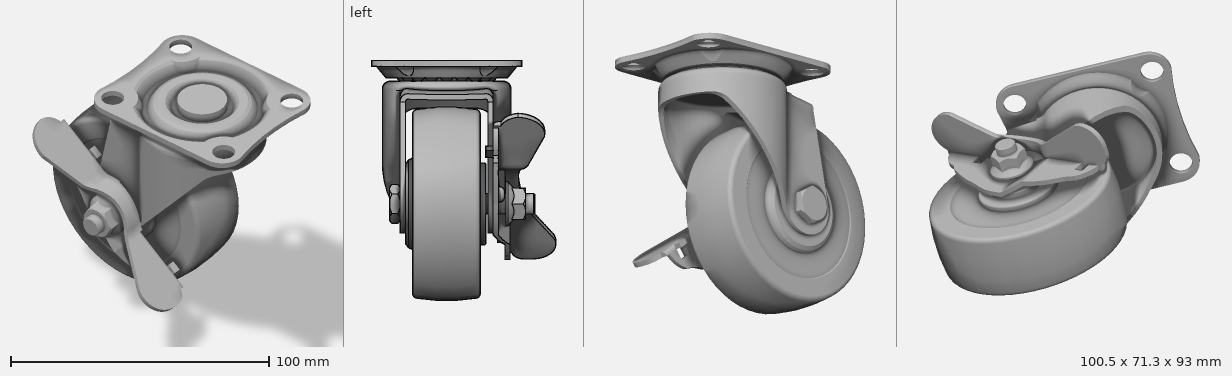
import cadquery as cq
import math


AXLE = (-28.0, 0, -55.5)
AXLE_R = 4.0
AXLE_HOLE_DEPTH = 100.5

PLATE_X, PLATE_Y = 69.9, 58.1
PLATE_T = 2.3
PLATE_WAIST = 2.0
CORNER_R = 8.8
MOUNT_X, MOUNT_Y = 27.5, 21.0
MOUNT_R = 4.4
SCALLOP_R = 9.8
SCALLOP_FLARE = 24.0
SCALLOP_WALL = 2.0
DISH_BOTTOM = -6.7
DISH_R = 27.2
HUB_FLOOR = -3.8
KINGPIN_R = 9.6

BALL_COUNT = 18
BALL_R = 2.7
BALL_PITCH_R = 17.1
BALL_Z = -5.5

FORK_TOP = -8.0
HEAD_R = 24.9
LEG_Y = 18.0
SHEET = 2.1
BEND_R = 3.0
LEG_BLEND_R = 6.5
BLEND_DROP = 3.6
SKIRT_BOTTOM = -18.5
LEG_END_R = 11.4
LIP_X = -34.1
BROW_X, BROW_Z = -31.4, -16.1
TONGUE_X, TONGUE_Z = -10.0, -9.3
TONGUE_SLOPE = 0.16
SKIRT_CORNER_X = 17.6
SKIRT_CORNER_R = 6.5

WHEEL_R = 37.5
TREAD_EDGE_R, TREAD_EDGE_Y = 36.6, 11.4
FACE_R, FACE_Y = 34.4, 13.1
SHOULDER_R, SHOULDER_Y = 36.0, 12.6
WHEEL_Y = 0.1
DISC_R, DISC_STEP = 27.8, 0.4
LEG_INNER_Y = LEG_Y - SHEET
HUB_R, HUB_Y = 15.9, 15.2
CONE_BASE_R, CONE_MIDDLE_R, CONE_TOP_R = 17.8, 17.0, 15.5
CONE_MIDDLE_Y = 14.8
HUB_EDGE = 0.8

HEAD_APOTHEM, HEAD_T = 6.5, 4.1
NUT_APOTHEM = 6.0
BOLT_END_Y = -34.1
BOLT_CHAMFER = 0.4
NUT_OUTER_Y = -30.6
NUT_BASE_Y = -26.0
FLANGE_R, FLANGE_Y, FLANGE_RIM = 8.5, -22.9, 0.8
HEAD_TURN = 30.0
HEX_BEVEL = 0.9

LEVER_TILT = 38.0
STRIP_V, STRIP_T = 9.4, 2.0
ARCH_R, ARCH_BEND_R, ARCH_RISE = 17.2, 6.0, 5.1
ARCH_U = -0.6
PEDAL_LEFT, PEDAL_RIGHT = -44.8, 44.2
STEP_START, STEP_END = 3.0, 13.1
LEFT_FACE_Y, RIGHT_FACE_Y = -LEG_Y, -22.5
ARCH_START = -7.0
ARCH_BACK_START, ARCH_BACK_END = -19.7, -22.1
PANEL_FRONT_START, PANEL_FRONT_END = -22.5, -22.9
PANEL_TIP = (3.2, 4.6)
PANEL_LEFT_V, PANEL_RIGHT_V = 11.5, 12.4
STRIP_END_LEFT, STRIP_END_RIGHT = -39.5, 40.2
FOLD_U, STRIP_BEND_R = 28.1, 1.9
PEDAL_DEPTH_Y = -45.2
SHOULDER_U = 38.2
TAB_DEPTH = 2.9
LEFT_TAB_U, LEFT_WINDOW_V = (-24.1, -19.6), 3.3
RIGHT_TAB_U, RIGHT_WINDOW_V = (29.9, 34.0), 2.7
BUTTON_R, BUTTON_H, BUTTON_ROUND = 3.0, 2.4, 2.0
BUTTON_DX, BUTTON_DZ = -5.0, 3.6


def ring(profile, origin):
    """Turn a profile of (radius, height along Y) points around the axle direction."""
    return cq.Workplane("XY", origin=origin).polyline(profile).close().revolve(360, (0, 0), (0, 1))


def turned(profile):
    """Turn a profile of (radius, z) points around the swivel axis."""
    return cq.Workplane("XZ").polyline(profile).close().revolve(360, (0, 0), (0, 1))


def tangent_point(point, centre, radius, side):
    """Where a line from the point touches a circle, on the side given by +1 or -1."""
    dx, dz = point[0] - centre[0], point[1] - centre[1]
    angle = math.atan2(dz, dx) + side * math.acos(radius / math.hypot(dx, dz))
    return (centre[0] + radius * math.cos(angle), centre[1] + radius * math.sin(angle))


def along_axle(radius, y_from, y_to):
    """A cylinder around the axle."""
    plane = cq.Workplane("XZ", origin=(AXLE[0], y_from, AXLE[2]))
    return plane.circle(radius).extrude(y_from - y_to)


def hexagon(apothem, y_from, y_to, turn, bevel_ends):
    """A hexagonal prism around the axle, with bevelled corners at the listed end faces."""
    corner_r = apothem / math.cos(math.pi / 6)
    plane = cq.Workplane("XZ", origin=(AXLE[0], y_from, AXLE[2])).transformed(rotate=(0, 0, turn))
    prism = plane.polygon(6, 2 * corner_r).extrude(y_from - y_to)
    envelope = along_axle(corner_r, y_from, y_to)
    for selector in bevel_ends:
        envelope = envelope.faces(selector).chamfer(HEX_BEVEL, corner_r - apothem)
    return prism.intersect(envelope)


axle_hole = along_axle(AXLE_R, AXLE_HOLE_DEPTH / 2, -AXLE_HOLE_DEPTH / 2)


def at_mounts(radius, flare=0):
    """Tools around the mounting holes that may widen downwards."""
    points = [(sx * MOUNT_X, sy * MOUNT_Y) for sx in (-1, 1) for sy in (-1, 1)]
    return cq.Workplane("XY").pushPoints(points).circle(radius).extrude(DISH_BOTTOM, taper=-flare)


def make_plate():
    x, y = PLATE_X / 2, PLATE_Y / 2
    cx, cy = x - CORNER_R, y - CORNER_R
    bulge = CORNER_R * math.sqrt(0.5)
    flange = (
        cq.Workplane("XY")
        .moveTo(-cx, y)
        .lineTo(cx, y)
        .threePointArc((cx + bulge, cy + bulge), (x, cy))
        .threePointArc((x - PLATE_WAIST, 0), (x, -cy))
        .threePointArc((cx + bulge, -cy - bulge), (cx, -y))
        .lineTo(-cx, -y)
        .threePointArc((-cx - bulge, -cy - bulge), (-x, -cy))
        .threePointArc((-x + PLATE_WAIST, 0), (-x, cy))
        .threePointArc((-cx - bulge, cy + bulge), (-cx, y))
        .close()
        .extrude(-PLATE_T)
    )
    dish = turned([(0, -PLATE_T), (DISH_R, -PLATE_T), (24.5, -5.5), (23.5, DISH_BOTTOM), (0, DISH_BOTTOM)])
    dish = dish.cut(at_mounts(SCALLOP_R - SCALLOP_WALL, SCALLOP_FLARE))
    recess = turned([
        (0, 0), (DISH_R, 0), (26.1, -0.8), (23.5, -4.4), (21.5, -4.4), (19.2, -1.6), (17.7, -0.8),
        (15.9, -0.8), (14.3, -1.0), (11.9, HUB_FLOOR), (0, HUB_FLOOR),
    ]).cut(at_mounts(SCALLOP_R, SCALLOP_FLARE))
    race = turned([
        (0, DISH_BOTTOM), (20.4, DISH_BOTTOM), (20.1, -4.4), (18.4, -2.8), (15.6, -2.8),
        (13.5, -5.8), (0, -5.8),
    ])
    kingpin_hole = cq.Workplane("XY").circle(KINGPIN_R).extrude(DISH_BOTTOM)
    return flange.union(dish).cut(recess).cut(race).cut(kingpin_hole).cut(at_mounts(MOUNT_R))


def leg_blend(inset, side, top, bottom):
    """Fills the corner between the round head and a leg with a hollow of constant sheet thickness."""
    head_r, leg_y, blend_r = HEAD_R - inset, LEG_Y - inset, LEG_BLEND_R + inset
    centre_y = leg_y + blend_r
    centre_x = -math.sqrt((head_r + blend_r) ** 2 - centre_y ** 2)
    middle = (math.pi / 2 + math.atan2(centre_y, -centre_x)) / 2
    reach = head_r / (head_r + blend_r)
    return (
        cq.Workplane("XY")
        .workplane(offset=bottom)
        .moveTo(centre_x, 0)
        .lineTo(centre_x, side * leg_y)
        .threePointArc(
            (centre_x + blend_r * math.cos(middle), side * (centre_y - blend_r * math.sin(middle))),
            (centre_x * reach, side * centre_y * reach),
        )
        .lineTo(centre_x * reach, 0)
        .close()
        .extrude(top - bottom)
    )


def fork_block(inset):
    """Round head plus the straight tongue and legs, shrunk by the inset; open towards -Z."""
    bottom = AXLE[2] - 2 * LEG_END_R
    top = FORK_TOP - inset
    bend = BEND_R - inset
    head = cq.Workplane("XY").workplane(offset=top).circle(HEAD_R - inset).extrude(bottom - top)
    head = head.faces(">Z").edges().fillet(bend)
    front = 2 * LIP_X
    tongue_top = TONGUE_Z - inset
    tongue = (
        cq.Workplane("XZ")
        .moveTo(TONGUE_X, bottom)
        .lineTo(TONGUE_X, tongue_top)
        .lineTo(front, tongue_top + TONGUE_SLOPE * (front - TONGUE_X))
        .lineTo(front, bottom)
        .close()
        .extrude(LEG_Y - inset, both=True)
    )
    tongue = tongue.faces(">Z").edges("not |Y").fillet(bend)
    block = head.union(tongue)
    for side in (-1, 1):
        block = block.union(leg_blend(inset, side, top - BLEND_DROP, bottom))
    return block


def side_outline():
    """Fork seen along Y: tapered legs that end round the axle, and a short skirt at the back."""
    centre = (AXLE[0], AXLE[2])
    front = tangent_point((BROW_X, BROW_Z), centre, LEG_END_R, 1)
    rear = tangent_point((SKIRT_CORNER_X, SKIRT_BOTTOM), centre, LEG_END_R, -1)
    back = HEAD_R + 1
    outline = (
        cq.Workplane("XZ")
        .moveTo(LIP_X, 0)
        .lineTo(back, 0)
        .lineTo(back, SKIRT_BOTTOM)
        .lineTo(SKIRT_CORNER_X, SKIRT_BOTTOM)
        .lineTo(*rear)
        .threePointArc((AXLE[0], AXLE[2] - LEG_END_R), front)
        .lineTo(BROW_X, BROW_Z)
        .lineTo(LIP_X, BROW_Z)
        .close()
        .extrude(2 * HEAD_R, both=True)
    )
    corner = cq.NearestToPointSelector((SKIRT_CORNER_X, 0, SKIRT_BOTTOM))
    return outline.edges("|Y").edges(corner).fillet(SKIRT_CORNER_R)


def lip_trim():
    """What lies ahead of the bowed front lip, above the legs."""
    ahead = 2 * LIP_X
    return (
        cq.Workplane("XY")
        .workplane(offset=BROW_Z)
        .moveTo(BROW_X, LEG_Y)
        .threePointArc((LIP_X, 0), (BROW_X, -LEG_Y))
        .lineTo(ahead, -LEG_Y)
        .lineTo(ahead, LEG_Y)
        .close()
        .extrude(-BROW_Z)
    )


def make_fork():
    fork = fork_block(0).cut(fork_block(SHEET)).intersect(side_outline()).cut(lip_trim())
    kingpin = cq.Workplane("XY").circle(KINGPIN_R).extrude(FORK_TOP - SHEET)
    fork = fork.union(kingpin)
    for i in range(BALL_COUNT):
        angle = 2 * math.pi * i / BALL_COUNT
        place = (BALL_PITCH_R * math.cos(angle), BALL_PITCH_R * math.sin(angle), BALL_Z)
        fork = fork.union(cq.Workplane("XY").sphere(BALL_R).translate(place))
    return fork.cut(axle_hole)


def make_wheel():
    centre = (AXLE[0], WHEEL_Y, AXLE[2])
    wheel = (
        cq.Workplane("XY", origin=centre)
        .moveTo(0, -FACE_Y)
        .lineTo(FACE_R, -FACE_Y)
        .threePointArc((SHOULDER_R, -SHOULDER_Y), (TREAD_EDGE_R, -TREAD_EDGE_Y))
        .threePointArc((WHEEL_R, 0), (TREAD_EDGE_R, TREAD_EDGE_Y))
        .threePointArc((SHOULDER_R, SHOULDER_Y), (FACE_R, FACE_Y))
        .lineTo(0, FACE_Y)
        .close()
        .revolve(360, (0, 0), (0, 1))
    )
    for side in (-1, 1):
        face, floor = side * FACE_Y, side * (FACE_Y - DISC_STEP)
        wheel = wheel.cut(ring([(0, face), (DISC_R, face), (DISC_R - DISC_STEP, floor), (0, floor)], centre))
    boss = along_axle(HUB_R, 0, -HUB_Y).faces("<Y").edges().fillet(HUB_EDGE)
    cone = ring([
        (0, 0), (CONE_BASE_R, 0), (CONE_BASE_R, FACE_Y), (CONE_MIDDLE_R, CONE_MIDDLE_Y),
        (CONE_TOP_R, LEG_INNER_Y), (0, LEG_INNER_Y),
    ], (AXLE[0], 0, AXLE[2]))
    return wheel.union(boss).union(cone).cut(axle_hole)


def make_bolt():
    shank = along_axle(AXLE_R, LEG_Y + HEAD_T, BOLT_END_Y).faces("<Y").chamfer(BOLT_CHAMFER)
    head = hexagon(HEAD_APOTHEM, LEG_Y + HEAD_T, LEG_Y, HEAD_TURN, ["<Y", ">Y"])
    return shank.union(head)


def make_nut():
    hexagon_part = hexagon(NUT_APOTHEM, FLANGE_Y, NUT_OUTER_Y, 0, ["<Y"])
    rim_y = FLANGE_Y - FLANGE_RIM
    flange = ring([
        (0, FLANGE_Y), (FLANGE_R, FLANGE_Y), (FLANGE_R, rim_y), (NUT_APOTHEM, NUT_BASE_Y), (0, NUT_BASE_Y),
    ], (AXLE[0], 0, AXLE[2]))
    return hexagon_part.union(flange).cut(axle_hole)


tilt = math.radians(LEVER_TILT)
along = cq.Vector(math.cos(tilt), 0, -math.sin(tilt))
across = cq.Vector(math.sin(tilt), 0, math.cos(tilt))
lever_side = cq.Plane(origin=AXLE, xDir=along, normal=(0, -1, 0))
lever_plan = cq.Plane(origin=AXLE, xDir=along, normal=across)


def strip_edge(sketch, depth, direction):
    """Add one face of the arched pedal strip, running in the +u (1) or -u (-1) direction."""
    bend = math.acos(1 - ARCH_RISE / (ARCH_R + ARCH_BEND_R))
    span = (ARCH_R + ARCH_BEND_R) * math.sin(bend)
    base = STRIP_V - depth
    bend_r = ARCH_BEND_R + depth
    half_u, half_v = span - bend_r * math.sin(bend / 2), base + bend_r * (1 - math.cos(bend / 2))
    end_u, end_v = span - bend_r * math.sin(bend), base + bend_r * (1 - math.cos(bend))
    d = direction
    return (
        sketch.lineTo(ARCH_U - d * span, base)
        .threePointArc((ARCH_U - d * half_u, half_v), (ARCH_U - d * end_u, end_v))
        .threePointArc((ARCH_U, base + ARCH_RISE), (ARCH_U + d * end_u, end_v))
        .threePointArc((ARCH_U + d * half_u, half_v), (ARCH_U + d * span, base))
    )


def make_web():
    """Upright web: a joggled sheet cut to a lobed outline, with a panel set forward under the arch."""
    outline = cq.Workplane(lever_side).moveTo(-SHOULDER_U, STRIP_V)
    outline = (
        strip_edge(outline, 0, 1)
        .lineTo(SHOULDER_U, STRIP_V)
        .lineTo(SHOULDER_U, 6.6)
        .threePointArc((36.5, 2.3), (33.4, -1.3))
        .lineTo(28.7, -2.9)
        .threePointArc((21.6, -7.2), (13.1, -9.8))
        .threePointArc((0, -13.1), (-12.4, -9.8))
        .threePointArc((-21.6, -6.4), (-28.7, -2.5))
        .lineTo(-30.8, -0.2)
        .threePointArc((-36.2, 3.0), (-SHOULDER_U, 7.1))
        .close()
        .extrude(-PEDAL_DEPTH_Y)
    )
    end = SHOULDER_U + STRIP_T
    joggle = (
        cq.Workplane(lever_plan)
        .moveTo(-end, LEFT_FACE_Y)
        .lineTo(STEP_START, LEFT_FACE_Y)
        .lineTo(STEP_END, RIGHT_FACE_Y)
        .lineTo(end, RIGHT_FACE_Y)
        .lineTo(end, RIGHT_FACE_Y - STRIP_T)
        .lineTo(STEP_END, RIGHT_FACE_Y - STRIP_T)
        .lineTo(STEP_START, LEFT_FACE_Y - STRIP_T)
        .lineTo(-end, LEFT_FACE_Y - STRIP_T)
        .close()
        .extrude(end, both=True)
    )
    zone = (
        cq.Workplane(lever_side)
        .moveTo(ARCH_START, PANEL_LEFT_V)
        .lineTo(*PANEL_TIP)
        .lineTo(STEP_END, PANEL_RIGHT_V)
        .lineTo(STEP_END, 2 * STRIP_V)
        .lineTo(ARCH_START, 2 * STRIP_V)
        .close()
        .extrude(-PEDAL_DEPTH_Y)
    )
    panel = (
        cq.Workplane(lever_plan)
        .moveTo(ARCH_START, ARCH_BACK_START)
        .lineTo(STEP_END, ARCH_BACK_END)
        .lineTo(STEP_END, PANEL_FRONT_END)
        .lineTo(ARCH_START, PANEL_FRONT_START)
        .close()
        .extrude(end)
    )
    return outline.intersect(joggle).cut(zone).union(outline.intersect(panel).intersect(zone))


def make_pedals():
    """Arched strip along the top of the web that widens into a rounded pedal at each end."""
    strip = cq.Workplane(lever_side).moveTo(PEDAL_LEFT, STRIP_V)
    strip = strip_edge(strip, 0, 1).lineTo(PEDAL_RIGHT, STRIP_V).lineTo(PEDAL_RIGHT, STRIP_V - STRIP_T)
    strip = strip_edge(strip, STRIP_T, -1).lineTo(PEDAL_LEFT, STRIP_V - STRIP_T)
    strip = strip.close().extrude(-PEDAL_DEPTH_Y)
    plan = (
        cq.Workplane(lever_plan)
        .moveTo(STRIP_END_LEFT, LEFT_FACE_Y)
        .lineTo(ARCH_START, LEFT_FACE_Y)
        .lineTo(ARCH_START, ARCH_BACK_START)
        .lineTo(STEP_END, ARCH_BACK_END)
        .lineTo(STEP_END, RIGHT_FACE_Y)
        .lineTo(STRIP_END_RIGHT, RIGHT_FACE_Y)
        .lineTo(STRIP_END_RIGHT, -25.1)
        .threePointArc((43.1, -26.9), (PEDAL_RIGHT, -30.2))
        .lineTo(PEDAL_RIGHT, -33.2)
        .threePointArc((40.1, -40.7), (31.2, -41.4))
        .lineTo(14.6, -31.9)
        .threePointArc((0, -27.7), (-14.4, -31.4))
        .lineTo(-32.9, -37.9)
        .threePointArc((-41.4, -35.0), (PEDAL_LEFT, -27.6))
        .threePointArc((-43.0, -23.5), (STRIP_END_LEFT, -21.0))
        .close()
        .extrude(2 * STRIP_V)
    )
    return strip.intersect(plan)


def lever_box(u_range, v_range, y_range):
    """A block given by its limits along u, v and Y."""
    return (
        cq.Workplane(lever_plan)
        .workplane(offset=v_range[0])
        .moveTo(sum(u_range) / 2, sum(y_range) / 2)
        .rect(u_range[1] - u_range[0], y_range[1] - y_range[0])
        .extrude(v_range[1] - v_range[0])
    )


def make_brake():
    brake = make_web().union(make_pedals())
    for u, face_y in ((-FOLD_U, LEFT_FACE_Y), (FOLD_U, RIGHT_FACE_Y)):
        fold = lever_side.toWorldCoords((u, STRIP_V, -face_y))
        brake = brake.edges(cq.NearestToPointSelector(fold.toTuple())).fillet(STRIP_BEND_R)
    for u_range, v_low, face_y in (
        (LEFT_TAB_U, LEFT_WINDOW_V, LEFT_FACE_Y),
        (RIGHT_TAB_U, RIGHT_WINDOW_V, RIGHT_FACE_Y),
    ):
        through = (face_y - 2 * STRIP_T, face_y + STRIP_T)
        brake = brake.cut(lever_box(u_range, (v_low, STRIP_V - STRIP_T), through))
        tab = lever_box(u_range, (STRIP_V - STRIP_T, STRIP_V), (face_y, face_y + TAB_DEPTH))
        brake = brake.union(tab)
    button = (
        cq.Workplane("XZ", origin=(AXLE[0] + BUTTON_DX, LEFT_FACE_Y - STRIP_T, AXLE[2] + BUTTON_DZ))
        .circle(BUTTON_R)
        .extrude(BUTTON_H)
        .faces("<Y")
        .edges()
        .fillet(BUTTON_ROUND)
    )
    return brake.union(button).cut(axle_hole)


plate = make_plate()
fork = make_fork()
wheel = make_wheel()
bolt = make_bolt()
nut = make_nut()
brake = make_brake()

result = cq.Compound.makeCompound([
    plate.solids().val(),
    fork.solids().val(),
    wheel.solids().val(),
    bolt.solids().val(),
    nut.solids().val(),
    brake.solids().val(),
])